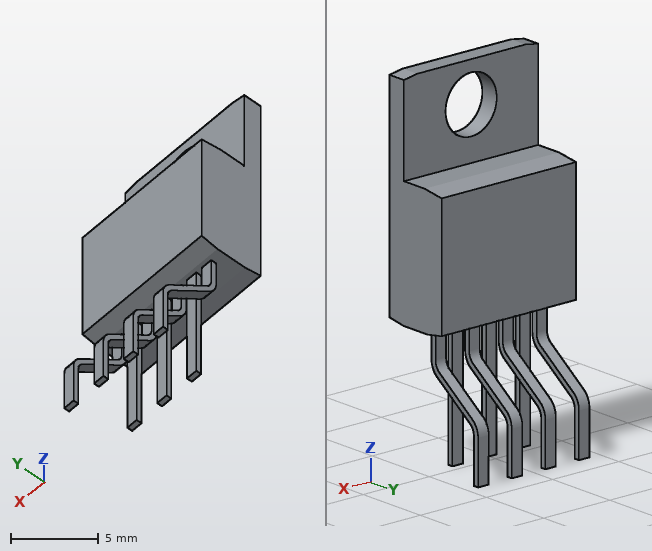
import cadquery as cq
import math

width = 10.15
height = 23.52
tab_thickness = 1.27
body_depth = 4.56
body_bottom = 8.54
body_top = 17.26
draft_drop = 0.2
bottom_slope_depth = 1.22
top_slope_depth = 1.48
corner_width = 0.99
corner_drop = 0.16

hole_diameter = 3.85
hole_height = 20.8

lead_count = 7
lead_pitch = 1.27
lead_width = 0.8
lead_thickness = 0.38
lead_front = 2.65
lead_embed = 0.47
straight_lead_bottom = 0.07
overall_depth = 6.75
bend_start = 6.73
bend_radius = 1.0
bend_angle = math.radians(54)

lead_top = body_bottom + lead_embed
lead_center = lead_front + lead_thickness / 2


def make_body():
    """Side profile of the molded block and tab, extruded across the width."""
    return (
        cq.Workplane("YZ")
        .moveTo(0, height)
        .lineTo(0, body_bottom + draft_drop)
        .lineTo(bottom_slope_depth, body_bottom)
        .lineTo(body_depth - bottom_slope_depth, body_bottom)
        .lineTo(body_depth, body_bottom + draft_drop)
        .lineTo(body_depth, body_top - draft_drop)
        .lineTo(body_depth - top_slope_depth, body_top)
        .lineTo(tab_thickness, body_top)
        .lineTo(tab_thickness, height)
        .close()
        .extrude(width / 2, both=True)
    )


def cut_tab_corners(body):
    for side in (-1, 1):
        corner = (
            cq.Workplane("XZ")
            .moveTo(side * width / 2, height)
            .lineTo(side * (width / 2 - corner_width), height)
            .lineTo(side * width / 2, height - corner_drop)
            .close()
            .extrude(-tab_thickness)
        )
        body = body.cut(corner)
    return body


def make_hole():
    return (
        cq.Workplane("XZ")
        .center(0, hole_height)
        .circle(hole_diameter / 2)
        .extrude(-tab_thickness)
    )


def make_straight_lead():
    length = lead_top - straight_lead_bottom
    return (
        cq.Workplane("XY")
        .box(lead_width, lead_thickness, length, centered=(True, True, False))
        .translate((0, lead_center, straight_lead_bottom))
    )


def make_bent_lead():
    """Lead swept down, rearward through two equal bends, then down again."""
    rear_center = overall_depth - lead_thickness / 2
    arc_run = bend_radius * (1 - math.cos(bend_angle))
    arc_drop = bend_radius * math.sin(bend_angle)
    slant_run = rear_center - lead_center - 2 * arc_run
    slant_drop = slant_run / math.tan(bend_angle)
    slant_top = bend_start - arc_drop
    slant_bottom = slant_top - slant_drop
    path = (
        cq.Workplane("YZ")
        .moveTo(lead_center, lead_top)
        .lineTo(lead_center, bend_start)
        .tangentArcPoint((lead_center + arc_run, slant_top), relative=False)
        .lineTo(rear_center - arc_run, slant_bottom)
        .tangentArcPoint((rear_center, slant_bottom - arc_drop), relative=False)
        .lineTo(rear_center, 0)
    )
    return (
        cq.Workplane("XY", origin=(0, lead_center, lead_top))
        .rect(lead_width, lead_thickness)
        .sweep(path)
    )


result = cut_tab_corners(make_body()).cut(make_hole())

straight_lead = make_straight_lead()
bent_lead = make_bent_lead()
for index in range(lead_count):
    lead = bent_lead if index % 2 == 0 else straight_lead
    lead_x = (index - (lead_count - 1) / 2) * lead_pitch
    result = result.union(lead.translate((lead_x, 0, 0)))